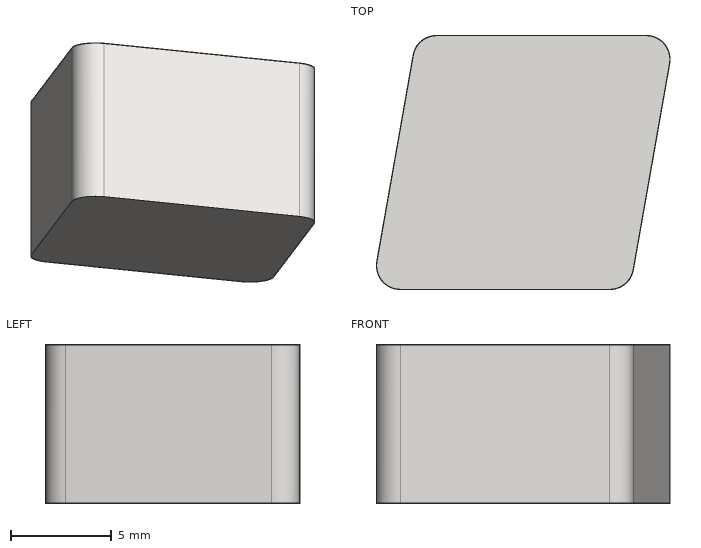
import cadquery as cq
import math

inscribed_diameter = 12.7
corner_angle = math.radians(80)
thickness = 7.94
corner_radius = 1.2

side_length = inscribed_diameter / math.sin(corner_angle)
side_lean = inscribed_diameter / math.tan(corner_angle)


def rhombus_corners():
    """Corners of the sharp rhombus, centred on the origin, with two sides along X."""
    half_depth = inscribed_diameter / 2
    left = -(side_length + side_lean) / 2
    return [
        (left, -half_depth),
        (left + side_length, -half_depth),
        (left + side_length + side_lean, half_depth),
        (left + side_lean, half_depth),
    ]


def rounded_block():
    """Rhombic prism standing on the XY plane, with its four upright edges rounded."""
    prism = cq.Workplane("XY").polyline(rhombus_corners()).close().extrude(thickness)
    return prism.edges("|Z").fillet(corner_radius)


result = rounded_block()